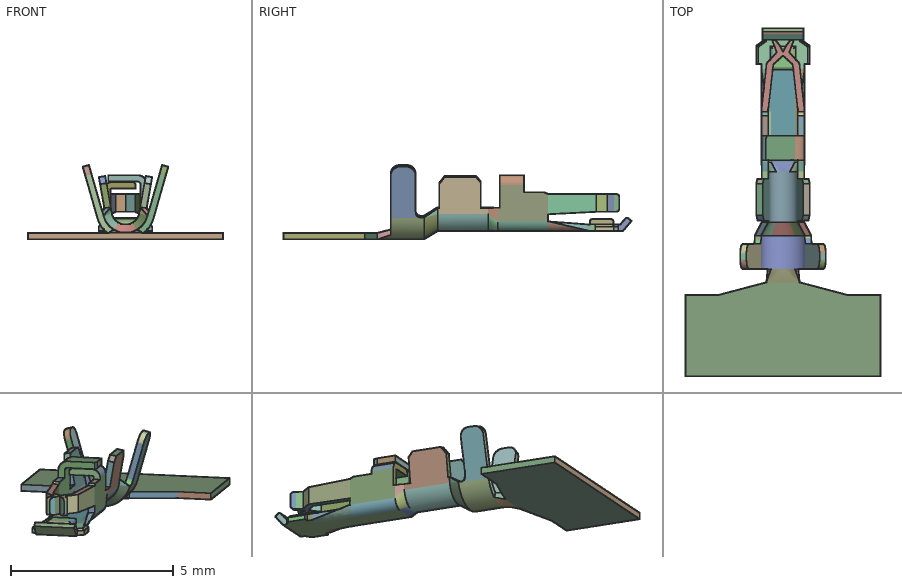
import cadquery as cq
import math

LENGTH = 10.72
SHEET = 0.2

ARC_MID_INSET = 1 - math.sqrt(0.5)

FLOOR_ARC_ANGLE = 30.0

STRIP_HALF = 3.0
STRIP_EDGE_Y = 2.51
SHOULDER_HALF = 1.97
NECK_HALF = 0.51
NECK_START_Y = 2.89

INS_START_Y = 3.3
INS_WING_END_Y = 4.07
INS_END_Y = 4.33
INS_RADIUS = 0.9
INS_TILT = 16.0
INS_RAIL = 0.02
INS_WING_LENGTH = 1.65
INS_TIP_RADIUS = 0.29
INS_ROOT_RADIUS = 0.16
NECK_HALF_ANGLE = 32.0

RAISED_Z = 0.26
CON_START_Y = 4.75
CON_WING_START_Y = 4.79
CON_WING_END_Y = 6.08
CON_END_Y = 6.3
CON_RADIUS = 0.63
CON_TILT = 10.0
CON_RAIL = 0.18
CON_WING_LENGTH = 1.16
CON_NEAR_CHAMFER_ALONG = 0.17
CON_NEAR_CHAMFER_UP = 0.23
CON_FAR_CHAMFER_ALONG = 0.15
CON_FAR_CHAMFER_UP = 0.17

BOX_START_Y = 6.59
BOX_WALL_START_Y = 6.66
FLANGE_END_Y = 7.41
BOX_END_Y = 8.15
BOX_HALF = 0.66
BOX_RADIUS = 0.3
BOX_RAIL_Z = 0.98
BOX_WALL_Z = 1.46
WALL_BEVEL_LENGTH = 0.13
WALL_BEVEL_DROP = 0.05
UPPER_FLANGE_Z = 1.98
UPPER_FLANGE_END_X = -0.54
UPPER_CORNER_X = 0.04
UPPER_CORNER_Y = 0.13
FLANGE_GAP = 0.01
LOWER_FLANGE_RADIUS = 0.25
LOWER_FLANGE_END_X = 0.31
LOWER_FLANGE_CHAMFER = 0.06

BEAM_TOP_Z = BOX_WALL_Z - WALL_BEVEL_DROP
BEAM_ROOT_Z = 0.77
BEAM_TIP_Z = 0.85
BEAM_KNEE_Y = 9.64
BEAM_KNEE_X = 0.5
BEAM_INNER_KNEE_Y = 9.59
BEAM_INNER_KNEE_X = 0.3
BEAM_WAIST_Y = 9.97
BEAM_WAIST_X = 0.19
BEAM_TOUCH_START_Y = 9.87
BEAM_TOUCH_END_Y = 9.99
BEAM_FLARE_Y = 10.17
BEAM_FLARE_OUTER_X = 0.27
BEAM_FLARE_INNER_X = 0.1
BEAM_TIP_OUTER_X = 0.33
BEAM_TIP_INNER_X = 0.23
BEAM_TIP_Y = 10.35
BEAM_TIP_RADIUS = 0.11

TONGUE_FLAT_Y = 9.45
EAR_START_Y = 9.6
EAR_SLOPE_Y = 10.17
EAR_END_Y = 10.31
EAR_HALF = 0.83
EAR_BEVEL = 0.06
LIP_HALF = 0.63
LIP_BEND_Y = 10.45
LIP_TIP_Z = 0.57
LIP_INNER_BEND_Y = 10.37
LIP_CREST_Y = 10.6
LIP_CREST_Z = 0.66
LIP_ROUND_Y = 10.53
LIP_ROUND_Z = 0.64
PAD_START_Y = 9.43
PAD_END_Y = 10.16
PAD_HALF = 0.4
PAD_HEIGHT = 0.17
PAD_ROUND = 0.09

FLOOR_TOP_Z = RAISED_Z + SHEET


def mirrored(body):
    """Body together with its mirror image across the centre plane X = 0."""
    return body.union(body.mirror("YZ"))


def arc_point(flat_half, bottom, centre_radius, radius, angle):
    """Point on a trough corner arc, angle measured from straight down."""
    turn = math.radians(angle)
    return (
        flat_half + radius * math.sin(turn),
        bottom + centre_radius - radius * math.cos(turn),
    )


def flip(point):
    return (-point[0], point[1])


def trough_wire(y, bottom, radius, tilt, rail, flat_half=0.0):
    """Eight-sided U section: floor, two bends and two straight rails leaning out by the tilt angle."""
    first = 0.0 if flat_half else FLOOR_ARC_ANGLE
    last = 90.0 - tilt
    lean = math.radians(tilt)

    def side(sheet_radius):
        bend = [
            arc_point(flat_half, bottom, radius, sheet_radius, angle)
            for angle in (first, (first + last) / 2, last)
        ]
        end = (bend[2][0] + rail * math.sin(lean), bend[2][1] + rail * math.cos(lean))
        return bend + [end]

    def floor(wire, target, sheet_radius):
        if flat_half:
            return wire.lineTo(*target)
        return wire.threePointArc((0, bottom + radius - sheet_radius), target)

    out_a, out_mid, out_b, out_end = side(radius)
    in_a, in_mid, in_b, in_end = side(radius - SHEET)
    wire = cq.Workplane("XZ", origin=(0, y, 0)).moveTo(*flip(out_end)).lineTo(*flip(out_b))
    wire = wire.threePointArc(flip(out_mid), flip(out_a))
    wire = floor(wire, out_a, radius)
    wire = wire.threePointArc(out_mid, out_b).lineTo(*out_end).lineTo(*in_end).lineTo(*in_b)
    wire = wire.threePointArc(in_mid, in_a)
    wire = floor(wire, flip(in_a), radius - SHEET)
    wire = wire.threePointArc(flip(in_mid), flip(in_b)).lineTo(*flip(in_end)).close()
    return wire


def insulation_wire(y):
    return trough_wire(y, 0, INS_RADIUS, INS_TILT, INS_RAIL)


def conductor_wire(y):
    return trough_wire(y, RAISED_Z, CON_RADIUS, CON_TILT, CON_RAIL)


def box_wire(y, top):
    rail = top - RAISED_Z - BOX_RADIUS
    return trough_wire(y, RAISED_Z, BOX_RADIUS, 0, rail, BOX_HALF - BOX_RADIUS)


def loft(start, end):
    return cq.Workplane(cq.Solid.makeLoft([start.val(), end.val()], True))


def wing_plane(bottom, radius, tilt):
    """Plane on the outside of the +X wing: local x runs along +Y, local y up the wing, normal outward."""
    x, z = arc_point(0, bottom, radius, radius, 90 - tilt)
    lean = math.radians(tilt)
    return cq.Plane(origin=(x, 0, z), xDir=(0, 1, 0), normal=(math.cos(lean), 0, -math.sin(lean)))


def make_strip():
    half_outline = [
        (0, 0),
        (STRIP_HALF, 0),
        (STRIP_HALF, STRIP_EDGE_Y),
        (SHOULDER_HALF, STRIP_EDGE_Y),
        (NECK_HALF, NECK_START_Y),
        (0, NECK_START_Y),
    ]
    return mirrored(cq.Workplane("XY").polyline(half_outline).close().extrude(SHEET))


def make_neck():
    flat = cq.Workplane("XZ", origin=(0, NECK_START_Y, 0)).polyline(
        [(-NECK_HALF, 0), (NECK_HALF, 0), (NECK_HALF, SHEET), (-NECK_HALF, SHEET)]
    ).close()
    inner_radius = INS_RADIUS - SHEET
    outer = arc_point(0, 0, INS_RADIUS, INS_RADIUS, NECK_HALF_ANGLE)
    inner = arc_point(0, 0, INS_RADIUS, inner_radius, NECK_HALF_ANGLE)
    curved = cq.Workplane("XZ", origin=(0, INS_START_Y, 0)).moveTo(*flip(outer))
    curved = curved.threePointArc((0, 0), outer).lineTo(*inner)
    curved = curved.threePointArc((0, SHEET), flip(inner)).close()
    return loft(flat, curved)


def make_insulation_crimp():
    trough = insulation_wire(INS_START_Y).extrude(INS_START_Y - INS_END_Y)
    root_y = INS_WING_END_Y + INS_ROOT_RADIUS
    root_turn = INS_ROOT_RADIUS * ARC_MID_INSET
    shoulder = INS_WING_LENGTH - INS_TIP_RADIUS
    tip_turn = INS_TIP_RADIUS * ARC_MID_INSET
    wing = (
        cq.Workplane(wing_plane(0, INS_RADIUS, INS_TILT))
        .moveTo(INS_START_Y, 0)
        .lineTo(root_y, 0)
        .lineTo(root_y, INS_RAIL)
        .threePointArc(
            (INS_WING_END_Y + root_turn, INS_RAIL + root_turn),
            (INS_WING_END_Y, INS_RAIL + INS_ROOT_RADIUS),
        )
        .lineTo(INS_WING_END_Y, shoulder)
        .threePointArc(
            (INS_WING_END_Y - tip_turn, INS_WING_LENGTH - tip_turn),
            (INS_WING_END_Y - INS_TIP_RADIUS, INS_WING_LENGTH),
        )
        .lineTo(INS_START_Y + INS_TIP_RADIUS, INS_WING_LENGTH)
        .threePointArc(
            (INS_START_Y + tip_turn, INS_WING_LENGTH - tip_turn),
            (INS_START_Y, shoulder),
        )
        .close()
        .extrude(-SHEET)
    )
    return trough.union(mirrored(wing))


def make_conductor_crimp():
    trough = conductor_wire(CON_START_Y).extrude(CON_START_Y - CON_END_Y)
    outline = [
        (CON_WING_START_Y, 0),
        (CON_WING_END_Y, 0),
        (CON_WING_END_Y, CON_WING_LENGTH - CON_FAR_CHAMFER_UP),
        (CON_WING_END_Y - CON_FAR_CHAMFER_ALONG, CON_WING_LENGTH),
        (CON_WING_START_Y + CON_NEAR_CHAMFER_ALONG, CON_WING_LENGTH),
        (CON_WING_START_Y, CON_WING_LENGTH - CON_NEAR_CHAMFER_UP),
    ]
    plane = wing_plane(RAISED_Z, CON_RADIUS, CON_TILT)
    wing = cq.Workplane(plane).polyline(outline).close().extrude(-SHEET)
    return trough.union(mirrored(wing))


def make_flange(wall_side, top, radius, end_x):
    """Flange bent inward from the wall on the given side (+1 or -1), ending at end_x."""
    wall_x = wall_side * BOX_HALF
    inner_x = wall_side * (BOX_HALF - SHEET)
    turn = radius * ARC_MID_INSET
    inner_radius = radius - SHEET
    inner_turn = SHEET + inner_radius * ARC_MID_INSET
    return (
        cq.Workplane("XZ", origin=(0, BOX_WALL_START_Y, 0))
        .moveTo(wall_x, BOX_RAIL_Z)
        .lineTo(wall_x, top - radius)
        .threePointArc((wall_x - wall_side * turn, top - turn), (wall_x - wall_side * radius, top))
        .lineTo(end_x, top)
        .lineTo(end_x, top - SHEET)
        .lineTo(wall_x - wall_side * radius, top - SHEET)
        .threePointArc((wall_x - wall_side * inner_turn, top - inner_turn), (inner_x, top - radius))
        .lineTo(inner_x, BOX_RAIL_Z)
        .close()
        .extrude(BOX_WALL_START_Y - FLANGE_END_Y)
    )


def make_box():
    rails = box_wire(BOX_START_Y, BOX_RAIL_Z).extrude(BOX_START_Y - BOX_WALL_START_Y)
    walls = box_wire(BOX_WALL_START_Y, BOX_WALL_Z).extrude(BOX_WALL_START_Y - BOX_END_Y)
    bevel = (
        cq.Workplane("YZ")
        .polyline(
            [
                (BOX_END_Y - WALL_BEVEL_LENGTH, BOX_WALL_Z),
                (BOX_END_Y, BOX_WALL_Z),
                (BOX_END_Y, BOX_WALL_Z - WALL_BEVEL_DROP),
            ]
        )
        .close()
        .extrude(BOX_HALF, both=True)
    )
    upper = make_flange(1, UPPER_FLANGE_Z, BOX_RADIUS, UPPER_FLANGE_END_X)
    corner_cut = (
        cq.Workplane("XY")
        .polyline(
            [
                (UPPER_FLANGE_END_X, FLANGE_END_Y),
                (UPPER_FLANGE_END_X + UPPER_CORNER_X, FLANGE_END_Y),
                (UPPER_FLANGE_END_X, FLANGE_END_Y - UPPER_CORNER_Y),
            ]
        )
        .close()
        .extrude(UPPER_FLANGE_Z)
    )
    lower_top = UPPER_FLANGE_Z - SHEET - FLANGE_GAP
    lower = make_flange(-1, lower_top, LOWER_FLANGE_RADIUS, LOWER_FLANGE_END_X)
    lower = lower.edges("|Y").edges(
        cq.selectors.NearestToPointSelector((LOWER_FLANGE_END_X, BOX_WALL_START_Y, lower_top))
    ).chamfer(LOWER_FLANGE_CHAMFER)
    return rails.union(walls.cut(bevel)).union(upper.cut(corner_cut)).union(lower)


def make_beams():
    half_plan = [
        (BOX_HALF, BOX_END_Y),
        (BEAM_KNEE_X, BEAM_KNEE_Y),
        (BEAM_WAIST_X, BEAM_WAIST_Y),
        (BEAM_FLARE_OUTER_X, BEAM_FLARE_Y),
        (BEAM_TIP_OUTER_X, BEAM_TIP_Y),
        (BEAM_TIP_INNER_X, BEAM_TIP_Y),
        (BEAM_FLARE_INNER_X, BEAM_FLARE_Y),
        (0, BEAM_TOUCH_END_Y),
        (0, BEAM_TOUCH_START_Y),
        (BEAM_INNER_KNEE_X, BEAM_INNER_KNEE_Y),
        (BOX_HALF - SHEET, BOX_END_Y),
    ]
    plan = cq.Workplane("XY").polyline(half_plan).close().extrude(BEAM_TOP_Z)
    side = (
        cq.Workplane("YZ")
        .polyline(
            [
                (BOX_END_Y, BEAM_ROOT_Z),
                (BEAM_KNEE_Y, BEAM_TIP_Z),
                (BEAM_TIP_Y, BEAM_TIP_Z),
                (BEAM_TIP_Y, BEAM_TOP_Z),
                (BOX_END_Y, BEAM_TOP_Z),
            ]
        )
        .close()
        .extrude(BOX_HALF, both=True)
        .edges("|X and >Y")
        .fillet(BEAM_TIP_RADIUS)
    )
    return mirrored(plan.intersect(side))


def make_flattening():
    """Stretch of floor whose rounded corners unbend into a flat plate."""
    flat_half = BOX_HALF - BOX_RADIUS
    outer_mid = arc_point(flat_half, RAISED_Z, BOX_RADIUS, BOX_RADIUS, 45)
    inner_mid = arc_point(flat_half, RAISED_Z, BOX_RADIUS, BOX_RADIUS - SHEET, 45)
    bend_z = RAISED_Z + BOX_RADIUS
    curved = (
        cq.Workplane("XZ", origin=(0, BOX_END_Y, 0))
        .moveTo(-flat_half, RAISED_Z)
        .lineTo(flat_half, RAISED_Z)
        .threePointArc(outer_mid, (BOX_HALF, bend_z))
        .lineTo(BOX_HALF - SHEET, bend_z)
        .threePointArc(inner_mid, (flat_half, FLOOR_TOP_Z))
        .lineTo(-flat_half, FLOOR_TOP_Z)
        .threePointArc(flip(inner_mid), (SHEET - BOX_HALF, bend_z))
        .lineTo(-BOX_HALF, bend_z)
        .threePointArc(flip(outer_mid), (-flat_half, RAISED_Z))
        .close()
    )
    flat = cq.Workplane("XZ", origin=(0, TONGUE_FLAT_Y, 0)).polyline(
        [
            (-flat_half, RAISED_Z),
            (flat_half, RAISED_Z),
            (BOX_HALF, RAISED_Z),
            (BOX_HALF, FLOOR_TOP_Z),
            (flat_half, FLOOR_TOP_Z),
            (-flat_half, FLOOR_TOP_Z),
            (-BOX_HALF, FLOOR_TOP_Z),
            (-BOX_HALF, RAISED_Z),
        ]
    ).close()
    return loft(curved, flat)


def make_ear_plate():
    half_plate = [
        (0, TONGUE_FLAT_Y),
        (BOX_HALF, TONGUE_FLAT_Y),
        (BOX_HALF, EAR_START_Y),
        (EAR_HALF, EAR_START_Y),
        (EAR_HALF, EAR_SLOPE_Y),
        (LIP_HALF, EAR_END_Y),
        (0, EAR_END_Y),
    ]
    plate = cq.Workplane("XY", origin=(0, 0, RAISED_Z)).polyline(half_plate).close().extrude(SHEET)
    slope_mid = ((EAR_HALF + LIP_HALF) / 2, (EAR_SLOPE_Y + EAR_END_Y) / 2, FLOOR_TOP_Z)
    side_mid = (EAR_HALF, (EAR_START_Y + EAR_SLOPE_Y) / 2, FLOOR_TOP_Z)
    plate = plate.edges(
        cq.selectors.NearestToPointSelector(slope_mid) + cq.selectors.NearestToPointSelector(side_mid)
    ).chamfer(EAR_BEVEL)
    return mirrored(plate)


def make_lip():
    round_mid = ((LIP_CREST_Y + LIP_ROUND_Y) / 2, LIP_CREST_Z)
    return (
        cq.Workplane("YZ")
        .moveTo(EAR_END_Y, RAISED_Z)
        .lineTo(LIP_BEND_Y, RAISED_Z)
        .lineTo(LENGTH, LIP_TIP_Z)
        .lineTo(LIP_CREST_Y, LIP_CREST_Z)
        .threePointArc(round_mid, (LIP_ROUND_Y, LIP_ROUND_Z))
        .lineTo(LIP_INNER_BEND_Y, FLOOR_TOP_Z)
        .lineTo(EAR_END_Y, FLOOR_TOP_Z)
        .close()
        .extrude(LIP_HALF, both=True)
    )


def make_pad():
    return (
        cq.Workplane("XY", origin=(0, 0, FLOOR_TOP_Z))
        .moveTo(0, (PAD_START_Y + PAD_END_Y) / 2)
        .rect(2 * PAD_HALF, PAD_END_Y - PAD_START_Y)
        .extrude(PAD_HEIGHT)
        .edges(">Z")
        .fillet(PAD_ROUND)
    )


result = make_strip()
for section in (
    make_neck(),
    make_insulation_crimp(),
    loft(insulation_wire(INS_END_Y), conductor_wire(CON_START_Y)),
    make_conductor_crimp(),
    loft(conductor_wire(CON_END_Y), box_wire(BOX_START_Y, BOX_RAIL_Z)),
    make_box(),
    make_beams(),
    make_flattening(),
    make_ear_plate(),
    make_lip(),
    make_pad(),
):
    result = result.union(section)